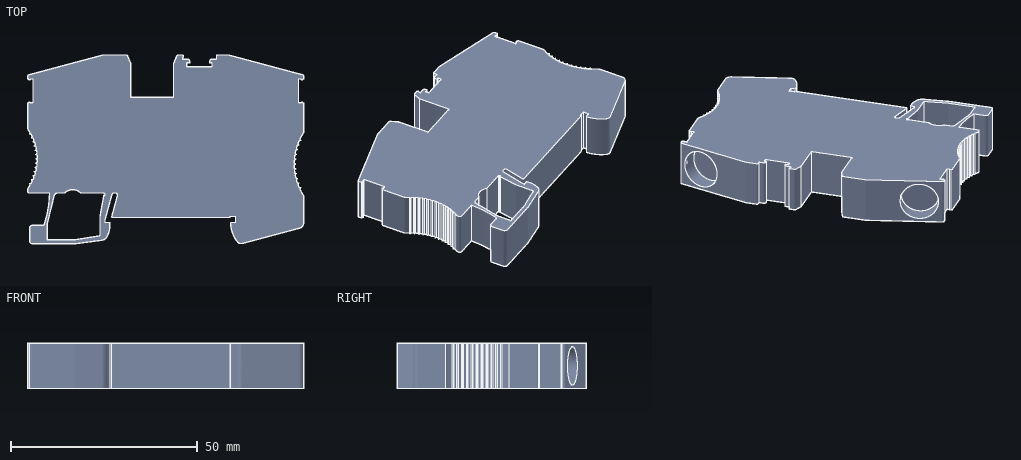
import math

import cadquery as cq

length = 74.0
height = 50.6
thickness = 12.2
half_length = length / 2

shoulder_angle = 15.0
shoulder_flat_end = 16.9
shoulder_tip_y = height - (half_length - shoulder_flat_end) * math.tan(math.radians(shoulder_angle))
side_notch_top = 44.1
side_notch_bottom = 37.8
side_notch_floor = half_length - 1.4
snap_bump_radius = 0.2
snap_bump_inset = 0.5

grip_depth = 2.6
left_grip_y = 22.8
left_grip_half_height = 8.0
left_ridge_count = 13
left_ridge_pitch = 1.2
right_grip_y = 21.4
right_grip_half_height = 8.5
right_ridge_count = 11
right_ridge_pitch = 1.3
ridge_height = 0.4
ridge_width = 0.5

slot_left = -9.3
slot_right = 2.1
slot_floor = 39.3
flare_y = 48.3
flare_width = 0.95

label_left = 4.5
label_bead_left = 4.9
label_right = 13.55
label_step_y = 49.5
label_lip_y = 48.5
label_lip_left = 6.45
label_lip_right = 11.8
label_floor = 47.5
label_undercut_left = 5.6
label_undercut_right = 12.35

rail_y = 7.0
hook_lip_y = 5.8
rail_relief_top = 7.3
rail_relief_left = 17.2
rail_relief_right = 18.65
hook_lip_x = 17.3
hook_bulge = (18.1, 2.2)
hook_toe = (19.75, -0.11)
hook_slope_angle = shoulder_angle
hook_heel_y = hook_toe[1] + (half_length - hook_toe[0]) * math.tan(math.radians(hook_slope_angle))

shelf_y = 13.6
foot_left = -36.5
foot_top = 5.0
leg_top = (-31.15, shelf_y)
leg_middle = (-31.5, 9.5)
leg_bottom = (-32.6, foot_top)
foot_flat_end = -24.35
foot_curve_start = (-17.0, 0.95)
foot_bend_middle = (-16.05, 1.5)
foot_bend_end = (-15.55, 2.3)
foot_curve_middle = (-15.2, 3.25)
foot_curve_end = (-14.95, 4.45)
hinge_slot_foot_x = -16.2
hinge_slot_foot_y = 6.5
hinge_slot_left = -14.3
hinge_slot_right = -12.8
hinge_slot_bottom_right = -14.6

window_left = -31.7
window_left_knee = 5.55
window_top_left = -29.7
window_top_right = -16.5
window_right = -17.6
window_right_knee = 7.55
window_floor = 1.2
window_nick_radius = 0.2
window_floor_bend = -24.1
window_floor_right = 2.2
window_dome_left = -27.1
window_dome_right = -22.8
window_dome_height = 0.9

tip_radius = 0.5
notch_corner_radius = 0.2
label_mouth_radius = 0.3
label_lip_radius = 0.6
rail_corner_radius = 0.3
slot_end_radius = 0.5
foot_corner_radius = 0.8
shelf_corner_radius = 0.5
grip_end_radius = 0.9
foot_bend_radius = 5.2
hook_toe_radius = 1.3
hook_heel_radius = 1.6
window_corner_radius = 0.9

screw_hole_diameter = 10.3
screw_hole_depth = 4.45
screw_hole_x = 30.7


def round_corners(solid, radius, corners):
    """Round the edges along Z that stand at the given XY corners."""
    for x, y in corners:
        selector = cq.selectors.NearestToPointSelector((x, y, thickness / 2))
        solid = solid.edges("|Z").edges(selector).fillet(radius)
    return solid


def body():
    """Extruded outline, drawn clockwise from the top of the left shoulder."""
    outline = (
        cq.Workplane("XY")
        .moveTo(-shoulder_flat_end, height)
        .lineTo(slot_left - flare_width, height)
        .lineTo(slot_left, flare_y)
        .lineTo(slot_left, slot_floor)
        .lineTo(slot_right, slot_floor)
        .lineTo(slot_right, flare_y)
        .lineTo(slot_right + flare_width, height)
        .lineTo(label_bead_left, height)
        .lineTo(label_left, label_step_y)
        .lineTo(label_lip_left, label_step_y)
        .lineTo(label_lip_left, label_lip_y)
        .lineTo(label_undercut_left, label_lip_y)
        .lineTo(label_undercut_left, label_floor)
        .lineTo(label_undercut_right, label_floor)
        .lineTo(label_undercut_right, label_lip_y)
        .lineTo(label_lip_right, label_lip_y)
        .lineTo(label_lip_right, label_step_y)
        .lineTo(label_right, label_step_y)
        .lineTo(label_right, height)
        .lineTo(shoulder_flat_end, height)
        .lineTo(half_length, shoulder_tip_y)
        .lineTo(half_length, side_notch_top)
        .lineTo(side_notch_floor, side_notch_top)
        .lineTo(side_notch_floor, side_notch_bottom)
        .lineTo(half_length, side_notch_bottom)
        .lineTo(half_length, right_grip_y + right_grip_half_height)
        .threePointArc(
            (half_length - grip_depth, right_grip_y),
            (half_length, right_grip_y - right_grip_half_height),
        )
        .lineTo(half_length, hook_heel_y)
        .lineTo(*hook_toe)
        .threePointArc(hook_bulge, (hook_lip_x, hook_lip_y))
        .lineTo(rail_relief_right, hook_lip_y)
        .lineTo(rail_relief_right, rail_relief_top)
        .lineTo(rail_relief_left, rail_relief_top)
        .lineTo(rail_relief_left, rail_y)
        .lineTo(hinge_slot_bottom_right, rail_y)
        .lineTo(hinge_slot_right, shelf_y)
        .lineTo(hinge_slot_left, shelf_y)
        .lineTo(hinge_slot_foot_x, hinge_slot_foot_y)
        .lineTo(hinge_slot_foot_x, hook_lip_y)
        .lineTo(foot_curve_end[0], hook_lip_y)
        .lineTo(*foot_curve_end)
        .threePointArc(foot_curve_middle, foot_bend_end)
        .threePointArc(foot_bend_middle, foot_curve_start)
        .lineTo(foot_flat_end, 0)
        .lineTo(foot_left, 0)
        .lineTo(foot_left, foot_top)
        .lineTo(*leg_bottom)
        .threePointArc(leg_middle, leg_top)
        .lineTo(-half_length, shelf_y)
        .lineTo(-half_length, left_grip_y - left_grip_half_height)
        .threePointArc(
            (-half_length + grip_depth, left_grip_y),
            (-half_length, left_grip_y + left_grip_half_height),
        )
        .lineTo(-half_length, side_notch_bottom)
        .lineTo(-side_notch_floor, side_notch_bottom)
        .lineTo(-side_notch_floor, side_notch_top)
        .lineTo(-half_length, side_notch_top)
        .lineTo(-half_length, shoulder_tip_y)
        .close()
    )
    return outline.extrude(thickness)


def rounded_body():
    """Body with its outline corners rounded."""
    solid = body()
    tips = [(-half_length, shoulder_tip_y), (half_length, shoulder_tip_y)]
    solid = round_corners(solid, tip_radius, tips)
    notch_corners = [(-half_length, side_notch_bottom), (half_length, side_notch_bottom)]
    solid = round_corners(solid, notch_corner_radius, notch_corners)
    label_mouth = [(label_bead_left, height), (label_right, height)]
    solid = round_corners(solid, label_mouth_radius, label_mouth)
    label_lips = [(label_lip_left, label_step_y), (label_lip_right, label_step_y)]
    solid = round_corners(solid, label_lip_radius, label_lips)
    rail_corners = [(hook_lip_x, hook_lip_y), (hinge_slot_bottom_right, rail_y)]
    solid = round_corners(solid, rail_corner_radius, rail_corners)
    slot_mouth = [(slot_left - flare_width, height), (slot_right + flare_width, height)]
    hinge_slot_end = [(hinge_slot_left, shelf_y), (hinge_slot_right, shelf_y)]
    solid = round_corners(solid, slot_end_radius, slot_mouth + hinge_slot_end)
    foot_corners = [(foot_left, 0), (foot_left, foot_top)]
    solid = round_corners(solid, foot_corner_radius, foot_corners)
    solid = round_corners(solid, shelf_corner_radius, [(-half_length, shelf_y)])
    left_grip_ends = [
        (-half_length, left_grip_y - left_grip_half_height),
        (-half_length, left_grip_y + left_grip_half_height),
    ]
    solid = round_corners(solid, grip_end_radius, left_grip_ends)
    solid = round_corners(solid, foot_bend_radius, [(foot_flat_end, 0)])
    solid = round_corners(solid, hook_toe_radius, [hook_toe])
    return round_corners(solid, hook_heel_radius, [(half_length, hook_heel_y)])


def grip_ridges(side, grip_y, half_height, count, pitch):
    """Triangular ridges spaced along one grip; side is -1 for left and 1 for right."""
    radius = (half_height**2 + grip_depth**2) / (2 * grip_depth)
    centre_x = half_length - grip_depth + radius
    root_radius = radius + ridge_width / 2
    half_width_angle = math.degrees(ridge_width / 2 / radius)

    def grip_point(distance, angle):
        turn = math.radians(angle)
        return side * (centre_x - distance * math.cos(turn)), grip_y + distance * math.sin(turn)

    ridges = cq.Workplane("XY")
    for index in range(count):
        angle = (index - (count - 1) / 2) * math.degrees(pitch / radius)
        corners = [
            grip_point(root_radius, angle - half_width_angle),
            grip_point(radius, angle - half_width_angle),
            grip_point(radius - ridge_height, angle),
            grip_point(radius, angle + half_width_angle),
            grip_point(root_radius, angle + half_width_angle),
        ]
        ridges = ridges.add(cq.Workplane("XY").polyline(corners).close().extrude(thickness))
    return ridges.combine()


def snap_bumps():
    """Small half-round bumps at the mouth of both side notches."""
    bump_x = half_length - snap_bump_inset
    centres = [(x, y) for x in (-bump_x, bump_x) for y in (side_notch_bottom, side_notch_top)]
    return cq.Workplane("XY").pushPoints(centres).circle(snap_bump_radius).extrude(thickness)


def foot_window():
    """Opening through the spring foot, with a shallow dome and a tiny nick at the top."""
    dome_middle = (window_dome_left + window_dome_right) / 2
    window = (
        cq.Workplane("XY")
        .moveTo(window_left, window_floor)
        .lineTo(window_left, window_left_knee)
        .lineTo(window_top_left, shelf_y)
        .lineTo(window_dome_left, shelf_y)
        .threePointArc((dome_middle, shelf_y + window_dome_height), (window_dome_right, shelf_y))
        .lineTo(window_top_right, shelf_y)
        .lineTo(window_right, window_right_knee)
        .lineTo(window_right, window_floor_right)
        .lineTo(window_floor_bend, window_floor)
        .close()
        .extrude(thickness)
    )
    window = round_corners(window, window_corner_radius, [(window_top_left, shelf_y)])
    nick_centre = (window_top_right, shelf_y - 2 * window_nick_radius)
    nick = cq.Workplane("XY").pushPoints([nick_centre]).circle(window_nick_radius).extrude(thickness)
    return window.union(nick)


def screw_hole(side):
    """Blind round hole square to the shoulder slope on one side."""
    slope = math.radians(shoulder_angle)
    centre_y = height - (screw_hole_x - shoulder_flat_end) * math.tan(slope)
    inward = cq.Vector(-side * math.sin(slope), -math.cos(slope), 0)
    centre = cq.Vector(side * screw_hole_x, centre_y, thickness / 2)
    clearance = screw_hole_depth
    mouth = centre - inward * clearance
    hole = cq.Solid.makeCylinder(screw_hole_diameter / 2, screw_hole_depth + clearance, mouth, inward)
    return cq.Workplane("XY").add(hole)


result = (
    rounded_body()
    .union(grip_ridges(-1, left_grip_y, left_grip_half_height, left_ridge_count, left_ridge_pitch))
    .union(grip_ridges(1, right_grip_y, right_grip_half_height, right_ridge_count, right_ridge_pitch))
    .union(snap_bumps())
    .cut(foot_window())
    .cut(screw_hole(-1))
    .cut(screw_hole(1))
)